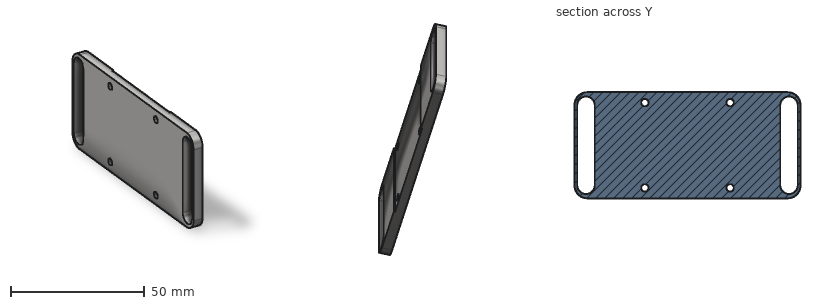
import cadquery as cq

LENGTH = 85.0
THICKNESS = 4.0
HEIGHT = 40.0
CORNER_RADIUS = 5.0

SLOT_WIDTH = 6.5
SLOT_HEIGHT = 36.5
SLOT_END_WALL = 1.15

HOLE_DIAMETER = 2.71
HOLE_SPACING = 32.0

CHANNEL_WIDTH = 40.0
CHANNEL_DEPTH = 0.5


def make_plate():
    """Rounded plate, centred on the origin."""
    plate = cq.Workplane("XY").box(LENGTH, THICKNESS, HEIGHT)
    return plate.edges("|Y").fillet(CORNER_RADIUS)


def make_strap_slots():
    """Cutters for the two vertical slots with round ends."""
    slot_offset = LENGTH / 2 - SLOT_END_WALL - SLOT_WIDTH / 2
    return (
        cq.Workplane("XZ")
        .pushPoints([(-slot_offset, 0), (slot_offset, 0)])
        .slot2D(SLOT_HEIGHT, SLOT_WIDTH, angle=90)
        .extrude(THICKNESS, both=True)
    )


def make_mounting_holes():
    """Cutters for the four mounting holes."""
    return (
        cq.Workplane("XZ")
        .rect(HOLE_SPACING, HOLE_SPACING, forConstruction=True)
        .vertices()
        .circle(HOLE_DIAMETER / 2)
        .extrude(THICKNESS, both=True)
    )


def make_back_channel():
    """Cutter for the channel in the back face."""
    channel_center_y = THICKNESS / 2 - CHANNEL_DEPTH / 2
    channel = cq.Workplane("XY").box(CHANNEL_WIDTH, CHANNEL_DEPTH, HEIGHT)
    return channel.translate((0, channel_center_y, 0))


result = (
    make_plate()
    .cut(make_strap_slots())
    .cut(make_mounting_holes())
    .cut(make_back_channel())
)